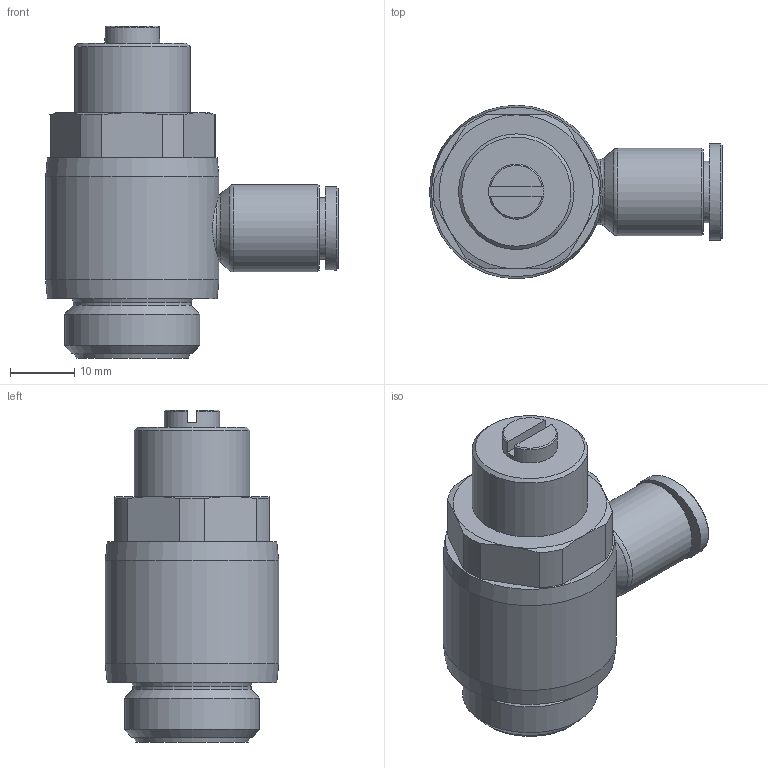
import cadquery as cq
import math

overall_height = 51.7

tip_radius = 8.75
tip_base_radius = 9.0
tip_height = 0.7
thread_radius = 10.5
thread_end_radius = 9.4
thread_start_z = 1.95
thread_end_z = 6.85
undercut_radius = 9.2
undercut_start_z = 8.2
undercut_end_z = 8.7
undercut_flare_radius = 9.4

body_radius = 13.5
body_end_radius = 13.2
body_bottom_z = 9.25
body_top_z = 31.2
body_taper_height = 2.9

hex_across_flats = 24.0
hex_corner_radius = 12.9
hex_top_z = 38.2
hex_chamfer_height = 0.3

cap_radius = 9.0
cap_top_z = 49.0
cap_chamfer = 0.5

screw_radius = 4.3
screw_chamfer = 0.2
slot_width = 1.5
slot_depth = 1.95

overall_length = 45.6
branch_z = 20.2
neck_radius = 5.1
socket_radius = 6.8
neck_end_x = 13.05
shoulder_angle = math.radians(41)
shoulder_fillet = 1.05
socket_end_x = 29.1
socket_end_chamfer = 0.2
groove_radius = 4.8
collar_start_x = 30.05
branch_end_x = overall_length - body_radius
collar_half_width = 7.55
collar_half_height = 6.5
collar_chamfer = 0.3


def make_lower_body():
    """Threaded end, undercut and tapered round body, turned about Z."""
    profile = [
        (0, 0),
        (tip_radius, 0),
        (tip_base_radius, tip_height),
        (thread_end_radius, tip_height),
        (thread_radius, thread_start_z),
        (thread_radius, thread_end_z),
        (undercut_radius, undercut_start_z),
        (undercut_radius, undercut_end_z),
        (undercut_flare_radius, body_bottom_z),
        (body_end_radius, body_bottom_z),
        (body_radius, body_bottom_z + body_taper_height),
        (body_radius, body_top_z - body_taper_height),
        (body_end_radius, body_top_z),
        (0, body_top_z),
    ]
    return cq.Workplane("XZ").polyline(profile).close().revolve(360, (0, 0), (0, 1))


def make_hexagon():
    """Hexagon with two corners on the X axis, rounded corners and a chamfered top."""
    height = hex_top_z - body_top_z
    flat_radius = hex_across_flats / 2
    across_corners = hex_across_flats / math.cos(math.pi / 6)
    prism = cq.Workplane("XY").workplane(offset=body_top_z).polygon(6, across_corners).extrude(height)
    turned_profile = [
        (0, body_top_z),
        (hex_corner_radius, body_top_z),
        (hex_corner_radius, hex_top_z - hex_chamfer_height),
        (flat_radius, hex_top_z),
        (0, hex_top_z),
    ]
    turned = cq.Workplane("XZ").polyline(turned_profile).close().revolve(360, (0, 0), (0, 1))
    return prism.intersect(turned)


def make_cap():
    """Cylindrical cap on the hexagon."""
    cap = cq.Workplane("XY").workplane(offset=hex_top_z).circle(cap_radius).extrude(cap_top_z - hex_top_z)
    return cap.faces(">Z").chamfer(cap_chamfer)


def make_screw():
    """Adjusting screw head with a slot along X."""
    head_height = overall_height - cap_top_z
    head = cq.Workplane("XY").workplane(offset=cap_top_z).circle(screw_radius).extrude(head_height)
    head = head.faces(">Z").chamfer(screw_chamfer)
    slot = (
        cq.Workplane("XY")
        .workplane(offset=overall_height - slot_depth)
        .rect(2 * screw_radius, slot_width)
        .extrude(slot_depth)
    )
    return head.cut(slot)


def make_branch():
    """Neck, filleted conical shoulder, socket and release groove, turned about the branch axis."""
    arc_length = shoulder_fillet * math.sin(shoulder_angle)
    arc_rise = shoulder_fillet * (1 - math.cos(shoulder_angle))
    half_arc_length = shoulder_fillet * math.sin(shoulder_angle / 2)
    half_arc_rise = shoulder_fillet * (1 - math.cos(shoulder_angle / 2))
    cone_rise = socket_radius - neck_radius - 2 * arc_rise
    cone_start_x = neck_end_x + arc_length
    cone_end_x = cone_start_x + cone_rise / math.tan(shoulder_angle)
    socket_start_x = cone_end_x + arc_length
    turned = (
        cq.Workplane("XZ", origin=(0, 0, branch_z))
        .moveTo(0, 0)
        .lineTo(0, neck_radius)
        .lineTo(neck_end_x, neck_radius)
        .threePointArc(
            (neck_end_x + half_arc_length, neck_radius + half_arc_rise),
            (cone_start_x, neck_radius + arc_rise),
        )
        .lineTo(cone_end_x, socket_radius - arc_rise)
        .threePointArc(
            (socket_start_x - half_arc_length, socket_radius - half_arc_rise),
            (socket_start_x, socket_radius),
        )
        .lineTo(socket_end_x - socket_end_chamfer, socket_radius)
        .lineTo(socket_end_x, socket_radius - socket_end_chamfer)
        .lineTo(socket_end_x, groove_radius)
        .lineTo(collar_start_x, groove_radius)
        .lineTo(collar_start_x, 0)
        .close()
        .revolve(360, (0, 0), (1, 0))
    )
    return turned.union(make_collar())


def make_collar():
    """Oval release collar closing the branch, wider along Y than along Z."""
    collar = (
        cq.Workplane("YZ", origin=(collar_start_x, 0, branch_z))
        .ellipse(collar_half_width, collar_half_height)
        .extrude(branch_end_x - collar_start_x)
    )
    return collar.faces(">X").chamfer(collar_chamfer)


result = (
    make_lower_body()
    .union(make_hexagon())
    .union(make_cap())
    .union(make_screw())
    .union(make_branch())
)